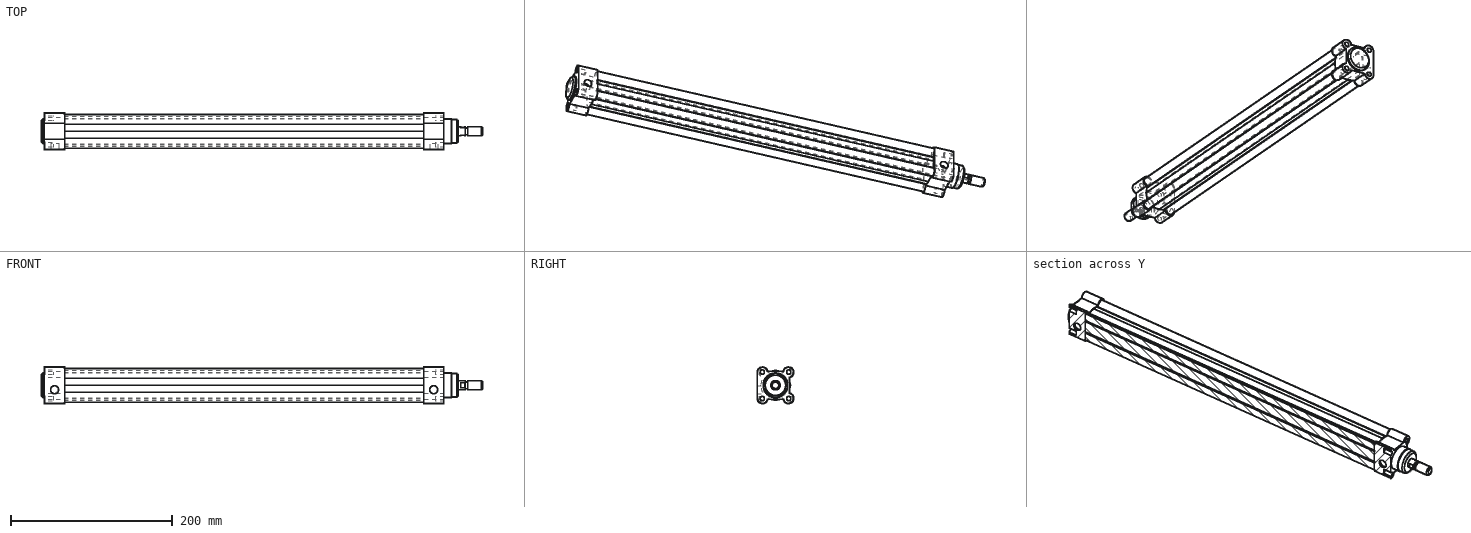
import cadquery as cq
import math


TOTAL_LENGTH = 546.0
BOSS_LENGTH = 4.0
CAP_LENGTH = 25.0
TUBE_LENGTH = 444.0
REAR_CAP_X = BOSS_LENGTH
TUBE_X = REAR_CAP_X + CAP_LENGTH
FRONT_CAP_X = TUBE_X + TUBE_LENGTH
COLLAR_X = FRONT_CAP_X + CAP_LENGTH

CAP_HALF_SIZE = 45.5 / 2
EAR_RADIUS = 6.5
EAR_OFFSET = CAP_HALF_SIZE - EAR_RADIUS
SCREW_OFFSET = 16.5
WAIST_HALF_SIZE = 17.5
SCREW_HOLE_DIAMETER = 5.5
SCREW_HOLE_DEPTH = 11.0
PORT_DIAMETER = 10.0
PORT_DEPTH = 8.0
PORT_Z = -5.5

BOSS_RADIUS = 15.5
BOSS_CHAMFER = 2.0
COLLAR_BASE_LENGTH = 10.0
COLLAR_BASE_CHAMFER = 0.5
COLLAR_NOSE_LENGTH = 8.0
COLLAR_NOSE_RADIUS = BOSS_RADIUS - COLLAR_BASE_CHAMFER
COLLAR_NOSE_CHAMFER = 2.0

CORE_RADIUS = 15.0
TUBE_HALF_SIZE = 42.0 / 2
LOBE_RADIUS = 5.0
LOBE_OFFSET = TUBE_HALF_SIZE - LOBE_RADIUS
CROWN_HALF_WIDTH = 17.0 / 2
CROWN_EDGE = 16.5
CROWN_PEAK = 18.5
CROWN_ARC_RADIUS = 21.0
RIDGE_HALF_WIDTH = 4.1
RIDGE_HEIGHT = 0.9

ROD_X = COLLAR_X + COLLAR_BASE_LENGTH + COLLAR_NOSE_LENGTH
ROD_RADIUS = 11.5 / 2
SHANK_LENGTH = 9.0
FLATS_START = 3.0
FLATS_LENGTH = 5.0
ACROSS_FLATS = 10.0
NECK_LENGTH = 3.0
NECK_RADIUS = 4.5
TIP_CHAMFER = 1.5


def disc(x, radius, length):
    """A cylinder about the X axis, from x to x + length."""
    return cq.Workplane("YZ", origin=(x, 0, 0)).circle(radius).extrude(length)


def corner_discs(x, offset, radius, length):
    """Four X-axis cylinders, one in each corner, offset from the cylinder axis in Y and Z."""
    return (
        cq.Workplane("YZ", origin=(x, 0, 0))
        .rect(2 * offset, 2 * offset, forConstruction=True)
        .vertices()
        .circle(radius)
        .extrude(length)
    )


def make_cap_block(x):
    """Square cap with four round ears; the -Y port face is full width, the other sides are waisted."""
    sketch = cq.Workplane("YZ", origin=(x, 0, 0))
    block = sketch.rect(2 * WAIST_HALF_SIZE, 2 * WAIST_HALF_SIZE).extrude(CAP_LENGTH)
    block = block.union(corner_discs(x, EAR_OFFSET, EAR_RADIUS, CAP_LENGTH))
    port_pad = (
        sketch.center(-(CAP_HALF_SIZE + EAR_OFFSET) / 2, 0)
        .rect(EAR_RADIUS, 2 * EAR_OFFSET)
        .extrude(CAP_LENGTH)
    )
    return block.union(port_pad)


def cut_port(cap, x):
    """Blind air port in the -Y face, halfway along a cap that starts at x."""
    port = (
        cq.Workplane("XZ", origin=(x + CAP_LENGTH / 2, -CAP_HALF_SIZE, PORT_Z))
        .circle(PORT_DIAMETER / 2)
        .extrude(-PORT_DEPTH)
    )
    return cap.cut(port)


def cut_screw_holes(cap, x):
    """Four blind screw holes, one per ear, running in +X from x."""
    return cap.cut(corner_discs(x, SCREW_OFFSET, SCREW_HOLE_DIAMETER / 2, SCREW_HOLE_DEPTH))


def make_rear_cap():
    boss = disc(0, BOSS_RADIUS, BOSS_LENGTH).faces("<X").edges().chamfer(BOSS_CHAMFER)
    cap = make_cap_block(REAR_CAP_X).union(boss)
    cap = cut_screw_holes(cap, REAR_CAP_X)
    return cut_port(cap, REAR_CAP_X)


def make_front_cap():
    base = disc(COLLAR_X, BOSS_RADIUS, COLLAR_BASE_LENGTH).faces(">X").edges().chamfer(COLLAR_BASE_CHAMFER)
    nose = (
        disc(COLLAR_X + COLLAR_BASE_LENGTH, COLLAR_NOSE_RADIUS, COLLAR_NOSE_LENGTH)
        .faces(">X")
        .edges()
        .chamfer(COLLAR_NOSE_CHAMFER)
    )
    cap = make_cap_block(FRONT_CAP_X).union(base).union(nose)
    cap = cut_screw_holes(cap, COLLAR_X - SCREW_HOLE_DEPTH)
    return cut_port(cap, FRONT_CAP_X)


def make_tube():
    """Round core with four corner lobes on diagonal webs and a crown along each side."""
    sketch = cq.Workplane("YZ", origin=(TUBE_X, 0, 0))
    tube = sketch.circle(CORE_RADIUS).extrude(TUBE_LENGTH)
    web_length = LOBE_OFFSET * math.sqrt(2)
    shoulder = CROWN_PEAK - RIDGE_HEIGHT

    for index in range(4):
        diagonal = sketch.transformed(rotate=(0, 0, 45 + 90 * index))
        web = diagonal.center(web_length / 2, 0).rect(web_length, 2 * LOBE_RADIUS).extrude(TUBE_LENGTH)
        lobe = diagonal.center(web_length, 0).circle(LOBE_RADIUS).extrude(TUBE_LENGTH)

        crown = (
            sketch.transformed(rotate=(0, 0, 90 * index))
            .moveTo(0, -CROWN_HALF_WIDTH)
            .lineTo(CROWN_EDGE, -CROWN_HALF_WIDTH)
            .radiusArc((shoulder, -RIDGE_HALF_WIDTH), -CROWN_ARC_RADIUS)
            .lineTo(CROWN_PEAK, 0)
            .lineTo(shoulder, RIDGE_HALF_WIDTH)
            .radiusArc((CROWN_EDGE, CROWN_HALF_WIDTH), -CROWN_ARC_RADIUS)
            .lineTo(0, CROWN_HALF_WIDTH)
            .close()
            .extrude(TUBE_LENGTH)
        )
        tube = tube.union(web).union(lobe).union(crown)
    return tube


def make_rod():
    """Rod end: shank with two wrench flats, a narrow neck and a chamfered stud."""
    shank = disc(ROD_X, ROD_RADIUS, SHANK_LENGTH)
    flat_depth = ROD_RADIUS - ACROSS_FLATS / 2
    flats_middle = ROD_X + FLATS_START + FLATS_LENGTH / 2
    for side in (-1, 1):
        waste_y = side * (ROD_RADIUS - flat_depth / 2)
        waste = cq.Workplane(origin=(flats_middle, waste_y, 0)).box(FLATS_LENGTH, flat_depth, 2 * ROD_RADIUS)
        shank = shank.cut(waste)
    neck_x = ROD_X + SHANK_LENGTH
    stud_x = neck_x + NECK_LENGTH
    neck = disc(neck_x, NECK_RADIUS, NECK_LENGTH)
    stud = disc(stud_x, ROD_RADIUS, TOTAL_LENGTH - stud_x).faces(">X").edges().chamfer(TIP_CHAMFER)
    return shank.union(neck).union(stud)


rear_cap = make_rear_cap()
tube = make_tube()
front_cap = make_front_cap()
rod = make_rod()

result = cq.Compound.makeCompound([rear_cap.val(), tube.val(), front_cap.val(), rod.val()])